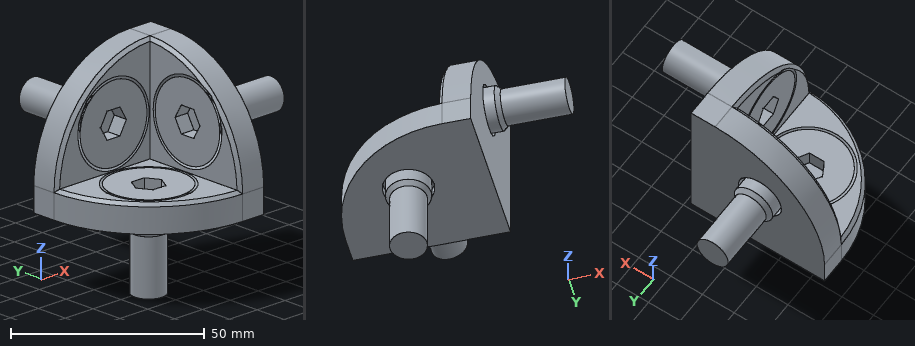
import cadquery as cq
import math

overall = 63.5
rim_radius = 34.5
rim_thickness = 7.6
rim_chamfer = 1.0
screw_offset = 14.1
side_screw_offset = 15.0

head_diameter = 24.0
shank_diameter = 12.0
end_diameter = 9.85
screw_clearance = 0.75
collar_length = 2.85
collar_taper = 1.35
socket_flats = 8.0
socket_depth = 4.5

plate_thickness = rim_thickness + rim_chamfer
head_height = (head_diameter - shank_diameter) / 2
sink_radius = head_diameter / 2 + screw_clearance
hole_radius = shank_diameter / 2 + screw_clearance
screw_tip = overall - rim_radius + rim_chamfer
collar_end = plate_thickness + collar_length
taper_end = collar_end + collar_taper
socket_corners = socket_flats / math.cos(math.pi / 6)

plate_directions = [
    ((0, 0, -1), (0, -1, 0), (1, 0, 0), screw_offset),
    ((1, 0, 0), (0, 0, 1), (0, 1, 0), side_screw_offset),
    ((0, 1, 0), (-1, 0, 0), (1, 0, 0), screw_offset),
]


def make_plate(normal, arm):
    """Quarter-round plate with straight margins and a bevelled inner face."""
    plane = cq.Plane(origin=(0, 0, 0), xDir=arm, normal=normal)
    diagonal = rim_radius * math.sqrt(0.5)
    slab = (
        cq.Workplane(plane)
        .moveTo(-rim_thickness, -rim_thickness)
        .lineTo(rim_radius, -rim_thickness)
        .lineTo(rim_radius, 0)
        .threePointArc((diagonal, diagonal), (0, rim_radius))
        .lineTo(-rim_thickness, rim_radius)
        .close()
        .extrude(rim_thickness)
    )
    bevel = cq.Solid.makeCone(
        rim_radius - rim_chamfer,
        rim_radius,
        rim_chamfer,
        pnt=cq.Vector(0, 0, -rim_chamfer),
        dir=cq.Vector(0, 0, 1),
        angleDegrees=90,
    )
    return slab.union(cq.Workplane(bevel.moved(plane.location)))


def screw_plane(normal, socket_direction, offset):
    """Plane on a plate's inner face, at the screw axis, pointing out through the plate."""
    arm_sum = cq.Vector(-1, -1, 1)
    along_normal = cq.Vector(*normal)
    in_plate = arm_sum + along_normal
    origin = in_plate * offset - along_normal * rim_chamfer
    return cq.Plane(origin=origin, xDir=socket_direction, normal=normal)


def make_screw_hole(plane):
    """Countersink with a through hole, clear of the screw all round."""
    profile = (
        cq.Workplane("XZ")
        .lineTo(sink_radius, 0)
        .lineTo(hole_radius, head_height)
        .lineTo(hole_radius, plate_thickness)
        .lineTo(0, plate_thickness)
        .close()
    )
    hole = profile.revolve(360, (0, 0), (0, 1))
    return cq.Workplane(hole.val().moved(plane.location))


def make_screw(plane):
    """Countersunk screw, flush with the inner face, with a hexagon socket and a stepped-down end."""
    profile = (
        cq.Workplane("XZ")
        .lineTo(head_diameter / 2, 0)
        .lineTo(shank_diameter / 2, head_height)
        .lineTo(shank_diameter / 2, collar_end)
        .lineTo(end_diameter / 2, taper_end)
        .lineTo(end_diameter / 2, screw_tip)
        .lineTo(0, screw_tip)
        .close()
    )
    screw = profile.revolve(360, (0, 0), (0, 1))
    socket = (
        cq.Workplane("XY")
        .polygon(6, socket_corners)
        .extrude(socket_depth)
    )
    return screw.cut(socket).val().moved(plane.location)


plates = [make_plate(normal, arm) for normal, arm, _, _ in plate_directions]
bracket = plates[0].union(plates[1]).union(plates[2])

screws = []
for normal, _, socket_direction, offset in plate_directions:
    plane = screw_plane(normal, socket_direction, offset)
    bracket = bracket.cut(make_screw_hole(plane))
    screws.append(make_screw(plane))

result = cq.Compound.makeCompound([bracket.val(), *screws])